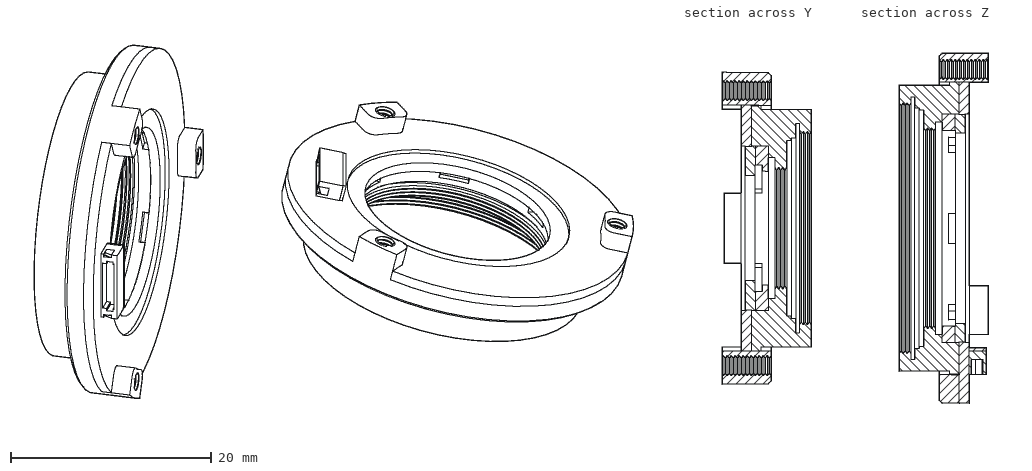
import cadquery as cq
import math

barrel_front = 0.0
flange_front = 4.0
board_front = 6.0
board_back = 7.0
lug_back = 8.9

flange_diameter = 35.0
flange_chamfer = 0.3
flange_bore = 29.2
lug_width = 4.45
lug_corner_radius = 1.0
lug_count = 3
screw_circle_radius = 15.85
screw_diameter = 2.0

thread_pitch = 0.4
thread_depth = 0.54 * thread_pitch
thread_crest_flat = thread_pitch / 8

barrel_diameter = 28.6
barrel_foot_length = 1.0
front_thread_diameter = 25.0
front_thread_turns = 3
front_relief_diameter = 26.2
front_relief_end = 1.55
upper_seat_diameter = 24.0
upper_seat_end = 2.0
lower_seat_diameter = 23.6
lower_seat_end = 2.45
rear_thread_diameter = 20.0
rear_thread_turns = 3
rear_relief_diameter = 21.2

ring_diameter = 22.8
spacer_front = 4.3
spacer_back = 5.6
spacer_bore = 19.5
notch_count = 6
notch_first_angle = 30.0
notch_width = 3.0
notch_depth = 0.7
notch_floor_radius = 10.4
stop_back = 6.6
stop_bore = 19.0

connector_thickness = 1.7
connector_width = 7.06
connector_inner_y = -12.2
connector_outer_y = -14.6
latch_depth = 0.3
latch_width = 6.9
socket_depth = 1.5
socket_front = board_back + 0.2
socket_back = board_back + 1.35
socket_width = 5.0
socket_key_front = board_back + 0.6
socket_key_back = board_back + 1.25
socket_key_width = 5.5
tab_front = board_back + 0.3
tab_back = board_back + 1.1
tab_thickness = 0.3
tab_length = 1.1
tab_ramp = 0.4


def revolve_about_x(points):
    """Solid of revolution about X from (x, radius) points."""
    return cq.Workplane("XY").polyline(points).close().revolve(360, (0, 0, 0), (1, 0, 0))


def disc(start, end, diameter):
    """Round plate around X between two X positions."""
    return cq.Workplane("YZ", origin=(start, 0, 0)).circle(diameter / 2).extrude(end - start)


def box_between(start, end):
    """Box between two opposite (x, y, z) corners."""
    size = [b - a for a, b in zip(start, end)]
    return cq.Workplane("XY").box(*size, centered=False).translate(start)


def spread_about_x(shape, count, first_angle=0.0):
    """Copies of a shape spaced evenly about X."""
    return [shape.rotate((0, 0, 0), (1, 0, 0), first_angle + i * 360 / count) for i in range(count)]


def thread_points(start, turns, diameter):
    """Outline of internal V thread rings as (x, radius) points, from root to root."""
    root_radius = diameter / 2
    crest_radius = root_radius - thread_depth
    flank = (thread_pitch - thread_crest_flat) / 2
    points = [(start, root_radius)]
    for turn in range(turns):
        ring_start = start + turn * thread_pitch
        points.append((ring_start + flank, crest_radius))
        points.append((ring_start + flank + thread_crest_flat, crest_radius))
        points.append((ring_start + thread_pitch, root_radius))
    return points


def make_lug_blanks():
    """Blocks in the shape of the lugs, reaching past the rim; the flange turns them down to its diameter."""
    blank = box_between((board_front, 0, -lug_width / 2), (lug_back, flange_diameter, lug_width / 2))
    blank = blank.cut(disc(board_front, lug_back, flange_bore))
    inner_corners = blank.edges("|X and <Y")
    return spread_about_x(inner_corners.fillet(lug_corner_radius), lug_count)


def make_screw_holes():
    """Threaded holes through the flange and the lugs."""
    turns = math.ceil((lug_back - flange_front) / thread_pitch)
    wall = thread_points(flange_front, turns, screw_diameter)
    hole = revolve_about_x([(flange_front, 0)] + wall + [(wall[-1][0], 0)])
    return spread_about_x(hole.translate((0, screw_circle_radius, 0)), lug_count)


def make_flange(lug_blanks):
    """Ring with threaded lugs that pass through the board."""
    flange = disc(flange_front, lug_back, flange_diameter).faces("<X").chamfer(flange_chamfer)
    space_between_lugs = disc(board_front, lug_back, flange_diameter)
    for blank in lug_blanks:
        space_between_lugs = space_between_lugs.cut(blank)
    flange = flange.cut(disc(flange_front, lug_back, flange_bore)).cut(space_between_lugs)
    for hole in make_screw_holes():
        flange = flange.cut(hole)
    return flange


def make_barrel():
    """Tube with two threads, stepped seats, a pocket for the rings and a wider foot in the flange bore."""
    front_thread = thread_points(barrel_front, front_thread_turns, front_thread_diameter)
    rear_thread = thread_points(lower_seat_end, rear_thread_turns, rear_thread_diameter)
    front_thread_end = front_thread[-1][0]
    rear_thread_end = rear_thread[-1][0]
    foot_front = board_front - barrel_foot_length
    seats = [
        (front_thread_end, front_relief_diameter / 2),
        (front_relief_end, front_relief_diameter / 2),
        (front_relief_end, upper_seat_diameter / 2),
        (upper_seat_end, upper_seat_diameter / 2),
        (upper_seat_end, lower_seat_diameter / 2),
        (lower_seat_end, lower_seat_diameter / 2),
    ]
    ring_pocket = [
        (rear_thread_end, rear_relief_diameter / 2),
        (spacer_front, rear_relief_diameter / 2),
        (spacer_front, ring_diameter / 2),
        (board_front, ring_diameter / 2),
    ]
    outside = [
        (board_front, flange_bore / 2),
        (foot_front, flange_bore / 2),
        (foot_front, barrel_diameter / 2),
        (barrel_front, barrel_diameter / 2),
    ]
    return revolve_about_x(front_thread + seats + rear_thread + ring_pocket + outside)


def make_spacer():
    """Ring with evenly spaced notches open to its bore and its back face."""
    spacer = disc(spacer_front, spacer_back, ring_diameter).cut(disc(spacer_front, spacer_back, spacer_bore))
    notch = box_between(
        (spacer_back - notch_depth, 0, -notch_width / 2),
        (spacer_back, notch_floor_radius, notch_width / 2),
    )
    for cutter in spread_about_x(notch, notch_count, notch_first_angle):
        spacer = spacer.cut(cutter)
    return spacer


def make_stop_ring():
    """Plain ring behind the spacer, held by the barrel and the board."""
    return disc(spacer_back, stop_back, ring_diameter).cut(disc(spacer_back, stop_back, stop_bore))


def make_board(lug_blanks):
    """Circuit board around the stop ring, notched where the lugs pass."""
    board = disc(board_front, board_back, flange_diameter).cut(disc(board_front, board_back, ring_diameter))
    for blank in lug_blanks:
        board = board.cut(blank)
    return board


def make_tabs():
    """Mirrored solder tabs with a sloped outer end."""
    edge = connector_width / 2
    profile = [
        (tab_front, connector_outer_y + tab_length),
        (tab_front, connector_outer_y + tab_ramp),
        (tab_back, connector_outer_y),
        (tab_back, connector_outer_y + tab_length),
    ]
    lower = cq.Workplane("XY", origin=(0, 0, -edge)).polyline(profile).close().extrude(tab_thickness)
    return [lower, lower.mirror("XY")]


def make_connector():
    """Housing with a keyed socket in its outer side and a pocket for each tab."""
    half = connector_width / 2
    back = board_back + connector_thickness
    body = box_between((board_back, connector_outer_y, -half), (back, connector_inner_y, half))
    socket_floor_y = connector_outer_y + socket_depth
    for front, back, width in (
        (socket_front, socket_back, socket_width),
        (socket_key_front, socket_key_back, socket_key_width),
    ):
        opening = box_between((front, connector_outer_y, -width / 2), (back, socket_floor_y, width / 2))
        body = body.cut(opening)
    pocket_floor_y = connector_outer_y + tab_length
    for bottom in (-half, half - tab_thickness):
        top = bottom + tab_thickness
        body = body.cut(box_between((tab_front, connector_outer_y, bottom), (tab_back, pocket_floor_y, top)))
    return body


def make_latch():
    """Bar along the inner side of the connector."""
    return box_between(
        (board_back, connector_inner_y, -latch_width / 2),
        (board_back + connector_thickness, connector_inner_y + latch_depth, latch_width / 2),
    )


lug_blanks = make_lug_blanks()
flange = make_flange(lug_blanks)
barrel = make_barrel()
spacer = make_spacer()
stop_ring = make_stop_ring()
board = make_board(lug_blanks)
tabs = make_tabs()
connector = make_connector()
latch = make_latch()

result = cq.Compound.makeCompound(
    [
        flange.val(),
        barrel.val(),
        spacer.val(),
        stop_ring.val(),
        board.val(),
        connector.val(),
        latch.val(),
        *[tab.val() for tab in tabs],
    ]
)